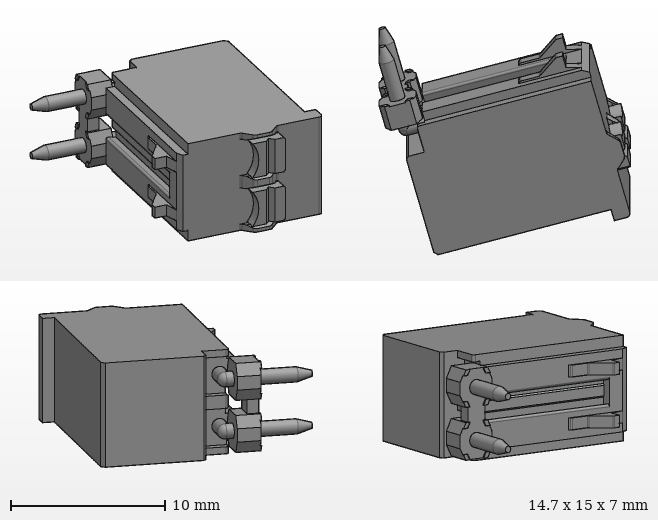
import cadquery as cq
import math


width = 7.0
half_width = width / 2
back_x = -0.4
step_x = 0.84
front_x = 12.58
overhang_y = 1.83
roof_y = 8.88
flange_x = 11.46
flange_y = 9.68
back_top_chamfer = 0.24
back_low_chamfer = 0.2
flange_round = 0.28
step_round = 0.2

pocket_floor_x = 1.38
pocket_half_z = 3.03
rib_half_z = 0.45
rib_chamfer = 0.1

rail_height = 0.62
rail_half_z = 2.75
rail_bevel_x = 0.48
rail_bevel_y = 0.25
groove_end_x = 11.07
groove_floor_y = 0.096
groove_floor_half_z = 0.93
groove_mouth_half_z = 0.78
groove_lip_round = 0.15

contact_spacing = 3.5
contact_z = contact_spacing / 2
pin_diameter = 1.0
pin_radius = pin_diameter / 2
pin_tip_y = -5.32
pin_cone_length = 1.04
pin_tip_radius = 0.21

insulator_radius = 1.25
insulator_flat_x = 0.45
insulator_flat_z = 0.85
insulator_height = 1.6
bridge_back_x = -0.65
bridge_front_x = 0.69
bridge_top_y = -0.81
pad_height = 0.09
pad_width_x = 0.33
pad_width_z = 0.39

hook_width = 0.8
hook_foot_x = 7.86
hook_arm_start_x = 8.02
hook_ramp_x = 9.33
hook_tip_start_x = 10.7
hook_tip_x = 11.13
hook_arm_y = -0.75
hook_tip_y = -1.7
hook_neck_y = -0.85
hook_bend_round = 0.18

wedge_center_y = 5.07
wedge_half_y = 1.29
wedge_height = 0.7
wedge_crest_round = 0.36
wedge_root_round = 0.18
wedge_taper_start = 0.27
wedge_taper_z = 0.2

clamp_width = 2.46
clamp_length = 0.82
clamp_low_y = 4.23
clamp_high_y = 6.58
clamp_hollow_depth = 0.45
clamp_chamfer = 0.1
clamp_notch_y = 5.54
clamp_notch_depth = 0.32


def prism_z(points, thickness, center_z=0.0):
    """Extrude an XY outline along Z, centred on center_z."""
    outline = cq.Workplane("XY").polyline(points).close()
    return outline.extrude(thickness / 2, both=True).translate((0, 0, center_z))


def prism_y(points, low_y, high_y):
    """Extrude an XZ outline between two Y levels."""
    return cq.Workplane("XZ", origin=(0, low_y, 0)).polyline(points).close().extrude(low_y - high_y)


def box(x0, x1, y0, y1, z0, z1):
    return cq.Workplane("XY").box(x1 - x0, y1 - y0, z1 - z0, centered=False).translate((x0, y0, z0))


def edge_at(x, y, z=0.0):
    """Selector for the edge along Z that passes through a point."""
    return cq.selectors.NearestToPointSelector((x, y, z))


def housing():
    body = prism_z(
        [
            (back_x, overhang_y),
            (step_x, overhang_y),
            (step_x, 0),
            (front_x, 0),
            (front_x, flange_y),
            (flange_x, flange_y),
            (flange_x, roof_y),
            (back_x, roof_y),
        ],
        width,
    )
    body = body.edges(edge_at(back_x, roof_y)).chamfer(back_top_chamfer)
    body = body.edges(edge_at(back_x, overhang_y)).chamfer(back_low_chamfer)
    body = body.edges(edge_at(front_x, flange_y)).fillet(flange_round)
    body = body.edges(edge_at(step_x, 0)).fillet(step_round)
    for side in (-1, 1):
        z0, z1 = sorted((side * rib_half_z, side * pocket_half_z))
        body = body.cut(box(step_x, pocket_floor_x, 0, overhang_y, z0, z1))
    return body


def rail():
    return prism_z(
        [
            (pocket_floor_x, 0),
            (pocket_floor_x, -rail_height),
            (front_x - rail_bevel_x, -rail_height),
            (front_x, rail_bevel_y - rail_height),
            (front_x, 0),
        ],
        2 * rail_half_z,
    )


def groove_cut():
    """Undercut groove with rounded lips, leaving a chamfered rib along its middle."""
    lip_angle = math.atan2(groove_floor_y + rail_height, groove_floor_half_z - groove_mouth_half_z)
    lip_reach = groove_lip_round / math.tan(lip_angle / 2)
    wall_slope = math.pi / 2 - lip_angle
    center_z = groove_mouth_half_z + lip_reach
    center_y = groove_lip_round - rail_height
    middle_angle = wall_slope / 2 - math.pi / 4

    def lip_point(angle):
        return (
            center_y + groove_lip_round * math.sin(angle),
            center_z - groove_lip_round * math.cos(angle),
        )

    tangent = lip_point(wall_slope)
    middle = lip_point(middle_angle)

    def mirrored(point):
        return (point[0], -point[1])

    length = groove_end_x - step_x
    plane = cq.Workplane("YZ", origin=(step_x, 0, 0))
    groove = (
        plane.moveTo(groove_floor_y, groove_floor_half_z)
        .lineTo(*tangent)
        .threePointArc(middle, (-rail_height, center_z))
        .lineTo(-rail_height, -center_z)
        .threePointArc(mirrored(middle), mirrored(tangent))
        .lineTo(groove_floor_y, -groove_floor_half_z)
        .close()
        .extrude(length)
    )
    rib = (
        plane.polyline(
            [
                (groove_floor_y, -rib_half_z),
                (0, rib_chamfer - rib_half_z),
                (0, rib_half_z - rib_chamfer),
                (groove_floor_y, rib_half_z),
            ]
        )
        .close()
        .extrude(length)
    )
    return groove.cut(rib)


def hook(center_z):
    latch = prism_z(
        [
            (hook_foot_x, -rail_height),
            (hook_arm_start_x, hook_arm_y),
            (hook_ramp_x, hook_arm_y),
            (hook_tip_start_x, hook_tip_y),
            (hook_tip_x, hook_tip_y),
            (hook_tip_x, hook_neck_y),
            (front_x - rail_bevel_x, -rail_height),
            (front_x - rail_bevel_x, 0),
            (hook_foot_x, 0),
        ],
        hook_width,
        center_z,
    )
    for x, y in ((hook_arm_start_x, hook_arm_y), (hook_ramp_x, hook_arm_y), (hook_tip_start_x, hook_tip_y)):
        latch = latch.edges(edge_at(x, y, center_z)).fillet(hook_bend_round)
    return latch


def pin(center_z):
    """Bent round pin: a tapered leg and an arm into the housing, mitred inside and rounded outside."""
    r = pin_radius
    cone_y = pin_tip_y + pin_cone_length
    leg = (
        cq.Workplane("XY")
        .polyline([(0, pin_tip_y), (pin_tip_radius, pin_tip_y), (r, cone_y), (r, r), (0, r)])
        .close()
        .revolve(360, (0, 0), (0, 1))
    )
    arm = cq.Workplane("YZ").center(r, 0).circle(r).extrude(pocket_floor_x)
    span = 2 * r
    leg = leg.cut(prism_z([(0, r), (span, r - span), (span, r)], 2 * span))
    arm = arm.cut(prism_z([(0, r), (span, r - span), (0, r - span)], 2 * span))
    knuckle = cq.Workplane("XY", origin=(0, r, 0)).sphere(r).intersect(box(-r, 0, r, 2 * r, -r, r))
    return leg.union(knuckle).union(arm).translate((0, 0, center_z))


def insulator_segment(center_z):
    """Eight-sided collar with four corner pads on its lower face."""
    r = insulator_radius
    fx = insulator_flat_x
    fz = insulator_flat_z
    collar = prism_y(
        [(fz, r), (r, fx), (r, -fx), (fz, -r), (-fz, -r), (-r, -fx), (-r, fx), (-fz, r)],
        -insulator_height,
        0,
    )
    pad_shift = pad_width_z * (r - fz) / (r - fx)
    for sx in (-1, 1):
        for sz in (-1, 1):
            corners = [
                (fz, r),
                (fz - pad_width_x, r),
                (fz - pad_width_x + pad_shift, r - pad_width_z),
                (fz + pad_shift, r - pad_width_z),
            ]
            outline = [(sx * x, sz * z) for x, z in corners]
            collar = collar.union(prism_y(outline, -insulator_height - pad_height, -insulator_height))
    return collar.translate((0, 0, center_z))


def wedge():
    """Ridge across the wire side, with rounded crest and roots and three tapered teeth."""
    low_y = wedge_center_y - wedge_half_y
    high_y = wedge_center_y + wedge_half_y
    crest_x = front_x + wedge_height
    ridge = prism_z(
        [
            (flange_x, low_y - wedge_height),
            (front_x, low_y - wedge_height),
            (front_x, low_y),
            (crest_x, low_y + wedge_height),
            (crest_x, high_y - wedge_height),
            (front_x, high_y),
            (front_x, high_y + wedge_height),
            (flange_x, high_y + wedge_height),
        ],
        width,
    )
    for y in (low_y + wedge_height, high_y - wedge_height):
        ridge = ridge.edges(edge_at(crest_x, y)).fillet(wedge_crest_round)
    for y in (low_y, high_y):
        ridge = ridge.edges(edge_at(front_x, y)).fillet(wedge_root_round)

    taper_x = front_x + wedge_taper_start
    z = rib_half_z
    tip_z = z - wedge_taper_z
    teeth = cq.Workplane("XY")
    for center_z in (-half_width, 0, half_width):
        tooth_outline = [
            (flange_x, center_z - z),
            (taper_x, center_z - z),
            (crest_x, center_z - tip_z),
            (crest_x, center_z + tip_z),
            (taper_x, center_z + z),
            (flange_x, center_z + z),
        ]
        teeth = teeth.add(prism_y(tooth_outline, low_y - wedge_height, high_y + wedge_height))
    return ridge.intersect(teeth.combine())


def clamp(center_z):
    """Block with a hollow lower face, bevelled upper edges and a notch across its end."""
    end_x = front_x + clamp_length
    half = clamp_width / 2
    shoulder_y = clamp_high_y - clamp_chamfer
    block = (
        cq.Workplane("YZ", origin=(flange_x, 0, 0))
        .moveTo(clamp_low_y, -half)
        .lineTo(shoulder_y, -half)
        .lineTo(clamp_high_y, clamp_chamfer - half)
        .lineTo(clamp_high_y, half - clamp_chamfer)
        .lineTo(shoulder_y, half)
        .lineTo(clamp_low_y, half)
        .threePointArc((clamp_low_y + clamp_hollow_depth, 0), (clamp_low_y, -half))
        .close()
        .extrude(end_x - flange_x)
    )
    notch = prism_z(
        [
            (end_x, clamp_notch_y - clamp_notch_depth),
            (end_x - clamp_notch_depth, clamp_notch_y),
            (end_x, clamp_notch_y + clamp_notch_depth),
        ],
        clamp_width,
    )
    return block.cut(notch).translate((0, 0, center_z))


bridge = box(bridge_back_x, bridge_front_x, -insulator_height, bridge_top_y, -contact_z, contact_z)

result = housing().union(rail()).cut(groove_cut()).union(wedge()).union(bridge)
for contact in (-contact_z, contact_z):
    result = result.union(insulator_segment(contact))
    result = result.union(pin(contact))
    result = result.union(hook(contact))
    result = result.union(clamp(contact))